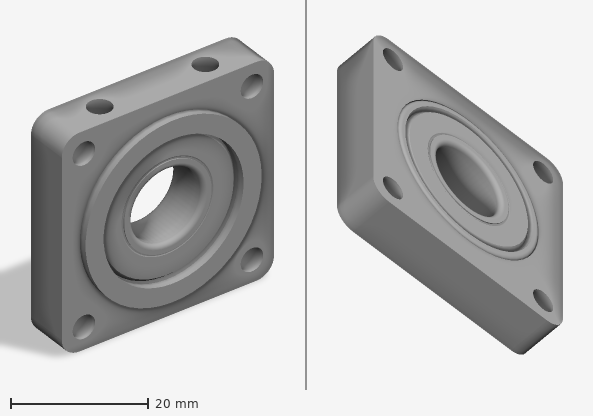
import cadquery as cq

side = 38.25
plate_thickness = 7.65
corner_radius = 3.17
boss_radius = 15.87
boss_height = 1.4
lip_radius = 12.62

hole_radius = 2.03
mount_offset = 15.15
port_offset = 9.52

bearing_radius = 14.25
bore_radius = 6.35
bearing_proud = 0.25
ring_fillet = 0.75

outer_groove_rim = 12.93
outer_groove_root = 12.5
shield_outer = 11.95
outer_groove_depth = 0.75
shield_depth = 0.1
shield_inner = 8.3
inner_groove_outer = 8.15
inner_groove_inner = 7.88
inner_groove_depth = 0.2

bearing_front = -bearing_proud
bearing_back = plate_thickness
bearing_width = bearing_back - bearing_front


def disc(x_start, radius, length):
    """Cylinder along +X, centred on the bearing axis."""
    return cq.Workplane("YZ", origin=(x_start, 0, 0)).circle(radius).extrude(length)


def make_housing():
    plate = (
        cq.Workplane("YZ")
        .rect(side, side)
        .extrude(plate_thickness)
        .edges("|X")
        .fillet(corner_radius)
    )
    body = plate.union(disc(plate_thickness, boss_radius, boss_height))

    bearing_pocket = disc(0, bearing_radius, plate_thickness)
    lip_opening = disc(plate_thickness, lip_radius, boss_height)
    mount_holes = (
        cq.Workplane("YZ")
        .rect(2 * mount_offset, 2 * mount_offset, forConstruction=True)
        .vertices()
        .circle(hole_radius)
        .extrude(plate_thickness)
    )
    port_holes = (
        cq.Workplane("XY")
        .pushPoints([(plate_thickness / 2, y) for y in (-port_offset, port_offset)])
        .circle(hole_radius)
        .extrude(side / 2)
    )
    return body.cut(bearing_pocket).cut(lip_opening).cut(mount_holes).cut(port_holes)


def make_face_recess():
    """Recess in the -X bearing face: V groove, shield and narrow inner groove."""
    section = [
        (outer_groove_rim, 0),
        (outer_groove_root, outer_groove_depth),
        (shield_outer, shield_depth),
        (shield_inner, shield_depth),
        (inner_groove_outer, inner_groove_depth),
        (inner_groove_inner, inner_groove_depth),
        (inner_groove_inner, 0),
    ]
    return (
        cq.Workplane("XY")
        .polyline([(bearing_front + depth, radius) for radius, depth in section])
        .close()
        .revolve(360, (0, 0, 0), (1, 0, 0))
    )


def make_bearing():
    rings = (
        disc(bearing_front, bearing_radius, bearing_width)
        .cut(disc(bearing_front, bore_radius, bearing_width))
        .edges("%CIRCLE")
        .fillet(ring_fillet)
    )
    front_recess = make_face_recess()
    mid_x = (bearing_front + bearing_back) / 2
    back_recess = front_recess.mirror("YZ", (mid_x, 0, 0))
    return rings.cut(front_recess).cut(back_recess)


housing = make_housing()
bearing = make_bearing()

result = cq.Compound.makeCompound([housing.val(), bearing.val()])